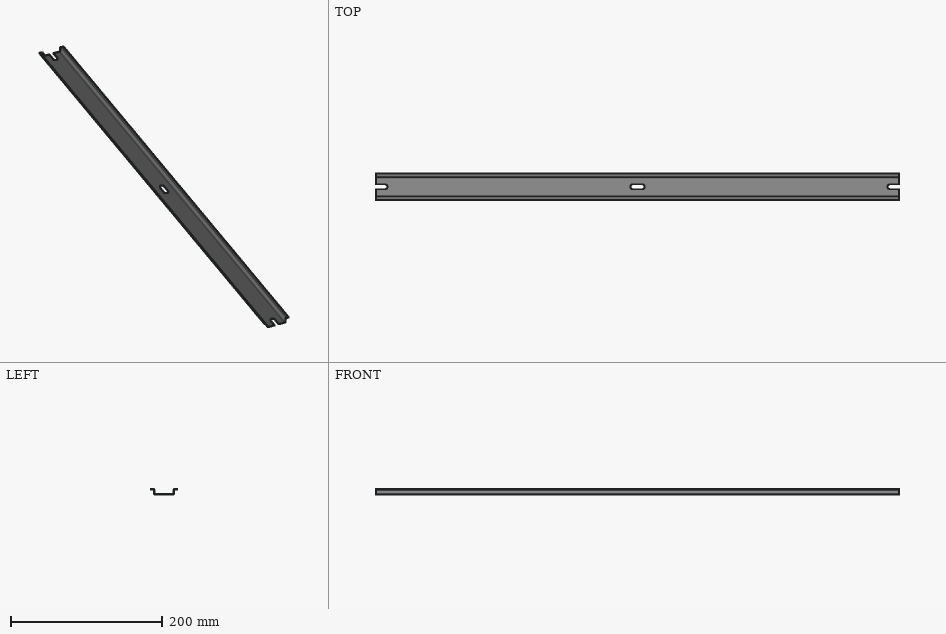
import cadquery as cq

length = 693.0
width = 35.0
height = 7.5
thickness = 1.0
channel_width = 27.0
inner_bend = 0.8
outer_bend = inner_bend + thickness

slot_width = 6.0
slot_length = 19.0
end_slot_depth = 15.0

half_width = width / 2
web_outside = channel_width / 2
web_inside = web_outside - thickness


def make_rail():
    """Hat-shaped strip: flat base, two upright webs and two outward flanges."""
    section = (
        cq.Workplane("YZ")
        .polyline([
            (-web_outside, 0),
            (web_outside, 0),
            (web_outside, height - thickness),
            (half_width, height - thickness),
            (half_width, height),
            (web_inside, height),
            (web_inside, thickness),
            (-web_inside, thickness),
            (-web_inside, height),
            (-half_width, height),
            (-half_width, height - thickness),
            (-web_outside, height - thickness),
        ])
        .close()
    )
    rail = section.extrude(length / 2, both=True)

    for side in (-1, 1):
        bends = (
            (web_outside, 0, outer_bend),
            (web_inside, thickness, inner_bend),
            (web_outside, height - thickness, inner_bend),
            (web_inside, height, outer_bend),
        )
        for y, z, radius in bends:
            edge = cq.selectors.NearestToPointSelector((0, side * y, z))
            rail = rail.edges("|X").edges(edge).fillet(radius)
    return rail


def make_slot(center_x, total_length):
    """Cutter for a lengthwise slot through the base."""
    return (
        cq.Workplane("XY")
        .center(center_x, 0)
        .slot2D(total_length, slot_width)
        .extrude(thickness)
    )


result = make_rail().cut(make_slot(0, slot_length))

for end_x in (-length / 2, length / 2):
    result = result.cut(make_slot(end_x, 2 * end_slot_depth))